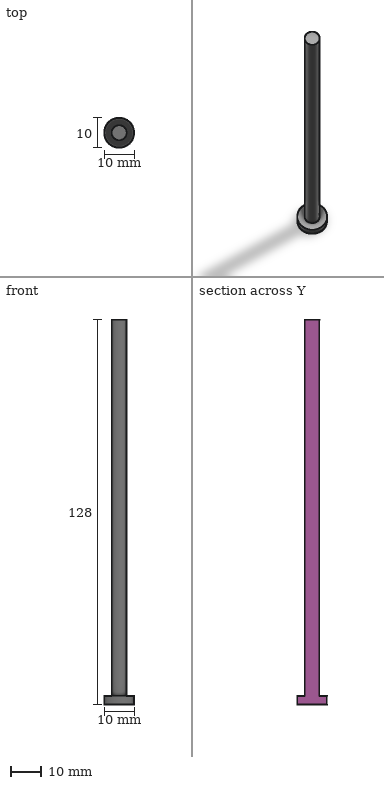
import cadquery as cq

total_length = 128.0
head_diameter = 10.0
head_thickness = 3.0
shaft_diameter = 5.0

head = cq.Workplane("XY").circle(head_diameter / 2).extrude(head_thickness)

shaft = cq.Workplane("XY").circle(shaft_diameter / 2).extrude(total_length)

result = head.union(shaft)